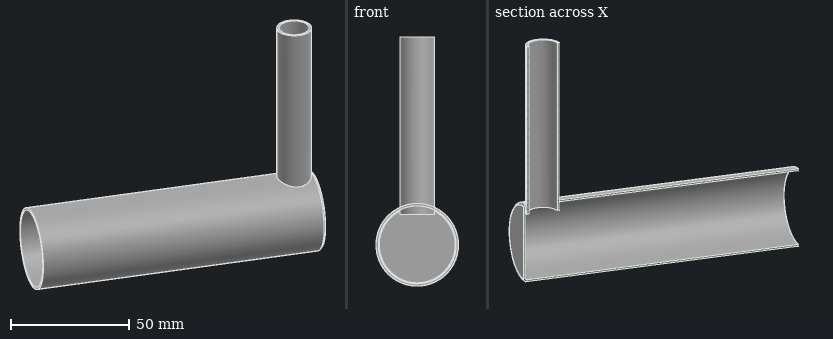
import cadquery as cq
import math

main_length = 125.0
main_radius = 17.5
wall = 1.0
end_chamfer = 1.0
bore_chamfer = end_chamfer - wall * (2 - math.sqrt(2))

side_radius = 7.4
side_length = 75.2
side_depth = 4.8
side_end_distance = 9.0

side_y = main_length - side_end_distance
side_bottom = main_radius - side_depth


def side_cylinder(radius):
    """Vertical cylinder over the full length of the side tube."""
    return (
        cq.Workplane("XY", origin=(0, side_y, side_bottom))
        .circle(radius)
        .extrude(side_length)
    )


def make_main_tube():
    """Closed-end tube with a chamfered end and a hole for the side tube."""
    outer = cq.Workplane("XZ").circle(main_radius).extrude(-main_length)
    outer = outer.faces(">Y").edges().chamfer(end_chamfer)
    bore = cq.Workplane("XZ").circle(main_radius - wall).extrude(-(main_length - wall))
    bore = bore.faces(">Y").edges().chamfer(bore_chamfer)
    return outer.cut(bore).cut(side_cylinder(side_radius))


def make_side_tube():
    """Plain tube with a through bore."""
    return side_cylinder(side_radius).cut(side_cylinder(side_radius - wall))


main_tube = make_main_tube()
side_tube = make_side_tube()

result = cq.Compound.makeCompound([main_tube.val(), side_tube.val()])